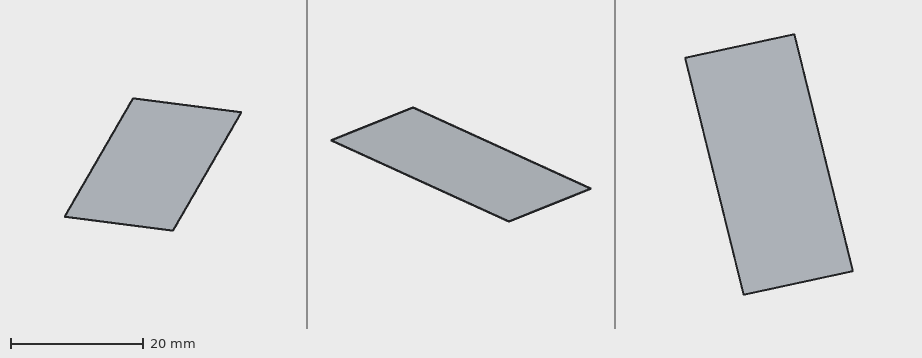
import cadquery as cq

width = 17.0
length = 39.37
thickness = 0.08

result = cq.Workplane("XY").box(width, length, thickness)